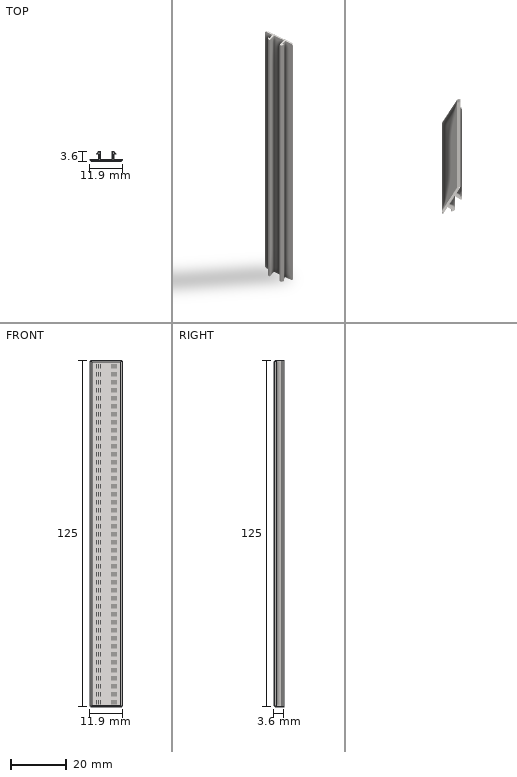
import cadquery as cq

length = 125.0
width = 11.9
depth = 3.6

plate_thickness = 0.9
side_bevel = 0.8
end_bevel = 0.5
corner_clip = 0.5

leg_inner = 2.1
leg_outer = 2.8
barb_tip = 3.5
barb_height = 2.8


def make_plate():
    """Plate standing along Z, front face on y = 0, bevelled along its sides and ends."""
    plate = cq.Workplane("XY").box(width, plate_thickness, length, centered=(True, False, True))
    plate = plate.edges("|Y").chamfer(corner_clip)
    plate = plate.faces("<Y").edges("|Z").chamfer(side_bevel)
    return plate.faces("<Y").edges("|X").chamfer(end_bevel)


def make_leg(side):
    """Full-length snap leg; side is -1 or 1 and sets the way its barb points."""
    profile = [
        (leg_inner, side_bevel),
        (leg_inner, depth),
        (leg_outer, depth),
        (barb_tip, barb_height),
        (leg_outer, barb_height),
        (leg_outer, side_bevel),
    ]
    points = [(side * x, y) for x, y in profile]
    return cq.Workplane("XY").polyline(points).close().extrude(length / 2, both=True)


result = make_plate()
for leg_side in (-1, 1):
    result = result.union(make_leg(leg_side))